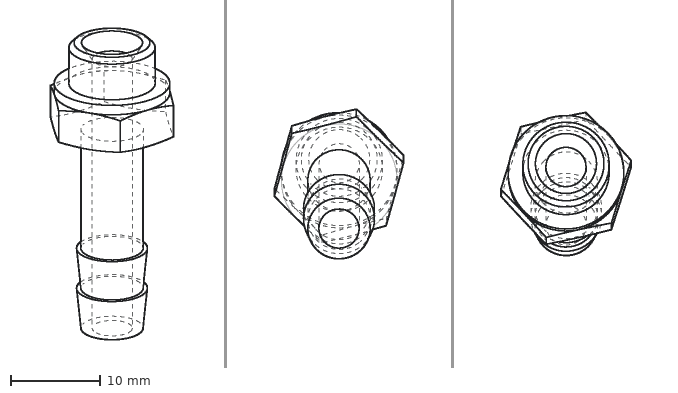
import cadquery as cq
import math

hex_across_flats = 13.0
hex_across_corners = hex_across_flats / math.cos(math.radians(30))
hex_bottom = 24.2
hex_top = 28.63
hex_top_bevel_height = 0.35
hex_bottom_bevel_height = 0.28
collar_diameter = hex_across_flats
collar_top = 29.77

total_height = 34.7
spigot_diameter = 9.7
spigot_chamfer = 0.6

tail_diameter = 7.0
barb_diameter = 7.98
barb_height = 4.85
barb_count = 2

bore_diameter = 4.5
mouth_diameter = 6.87
mouth_depth = 1.95


def cylinder(diameter, bottom, top):
    return cq.Workplane("XY").workplane(offset=bottom).circle(diameter / 2).extrude(top - bottom)


def cone(bottom_diameter, top_diameter, bottom, top):
    """Truncated cone about the Z axis."""
    profile = [
        (0, bottom),
        (bottom_diameter / 2, bottom),
        (top_diameter / 2, top),
        (0, top),
    ]
    return cq.Workplane("XZ").polyline(profile).close().revolve(360, (0, 0, 0), (0, 1, 0))


def hexagon():
    """Hexagon with flats facing +X and -X, its corners bevelled at both ends."""
    prism = (
        cq.Workplane("XY")
        .workplane(offset=hex_bottom)
        .polygon(6, hex_across_corners)
        .extrude(hex_top - hex_bottom)
        .rotate((0, 0, 0), (0, 0, 1), 30)
    )
    lower_bevel_top = hex_bottom + hex_bottom_bevel_height
    upper_bevel_bottom = hex_top - hex_top_bevel_height
    envelope = (
        cone(hex_across_flats, hex_across_corners, hex_bottom, lower_bevel_top)
        .union(cylinder(hex_across_corners, lower_bevel_top, upper_bevel_bottom))
        .union(cone(hex_across_corners, hex_across_flats, upper_bevel_bottom, hex_top))
    )
    return prism.intersect(envelope)


def spigot():
    return cylinder(spigot_diameter, collar_top, total_height).faces(">Z").chamfer(spigot_chamfer)


def hose_tail():
    """Plain tube whose lower end carries barbs that widen upwards."""
    tail = cylinder(tail_diameter, 0, hex_bottom)
    for index in range(barb_count):
        bottom = index * barb_height
        tail = tail.union(cone(tail_diameter, barb_diameter, bottom, bottom + barb_height))
    return tail


def passage():
    bore = cylinder(bore_diameter, 0, total_height)
    mouth = cone(bore_diameter, mouth_diameter, total_height - mouth_depth, total_height)
    return bore.union(mouth)


collar = cylinder(collar_diameter, hex_top, collar_top)
body = hose_tail().union(hexagon()).union(collar).union(spigot())
result = body.cut(passage())